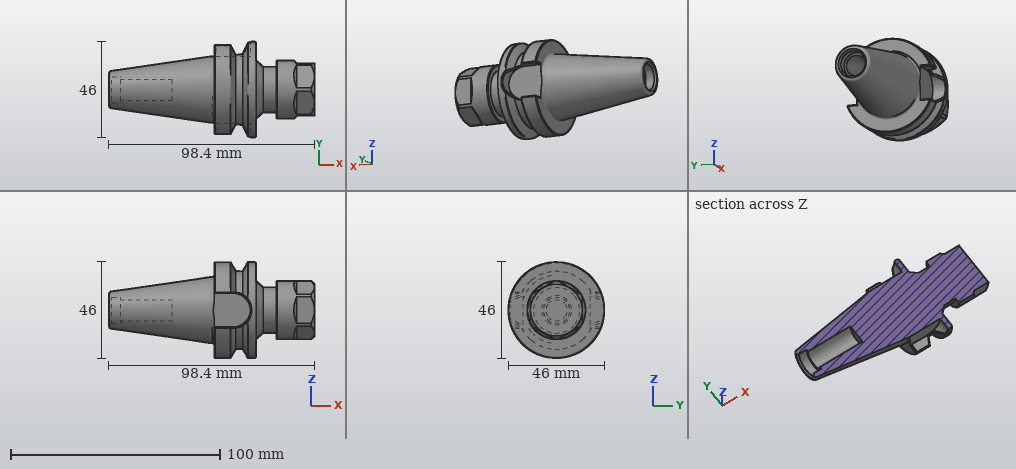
import cadquery as cq
import math


GAUGE_RADIUS = 31.75 / 2
SHANK_LENGTH = 48.4
TAPER_RATIO = 7 / 24
SHANK_END_FILLET = 1.5
SHANK_END_X = -SHANK_LENGTH
SHANK_END_RADIUS = GAUGE_RADIUS - SHANK_LENGTH * TAPER_RATIO / 2

MOUTH_RADIUS = 7.1
MOUTH_DEPTH = 1.0
PILOT_RADIUS = 12.5 / 2
PILOT_DEPTH = 5.4
THREAD_RADIUS = 10.11 / 2
BORE_DEPTH = 30.0

FLANGE_RADIUS = 46 / 2
FLANGE_START_X = 2.0
FLANGE_END_X = 22.0
FLANGE_ROOT_FILLET = 1.0
FLANGE_CHAMFER = 0.4
FLANGE_END_FILLET = 1.0
GROOVE_CENTER_X = 13.9
GROOVE_FLOOR_RADIUS = 18.7
GROOVE_FLOOR_WIDTH = 3.3
GROOVE_FLANK_ANGLE = 30.0
GROOVE_RIM_FILLET = 0.4
GROOVE_RIM_HALF_WIDTH = GROOVE_FLOOR_WIDTH / 2 + (FLANGE_RADIUS - GROOVE_FLOOR_RADIUS) * math.tan(
    math.radians(GROOVE_FLANK_ANGLE)
)

SLOT_HALF_WIDTH = 16.1 / 2
SLOT_FLOOR_Y = 16.0
SLOT_ARC_CENTER_X = 11.2
SLOT_EDGE_CHAMFER = 0.6

NECK_RADIUS = 22 / 2
NECK_CONE_RADIUS = 28 / 2
NECK_START_X = 25.3
NUT_RADIUS = 28 / 2
NUT_START_X = 31.7
NUT_END_X = 50.0
NUT_START_CHAMFER = 0.4
NUT_END_RADIUS = 12.4
NUT_END_CHAMFER_LENGTH = 1.8
FLAT_COUNT = 6
FLAT_DISTANCE = 25 / 2
FLAT_START_X = 41.45
FLAT_RUNOUT = 1.45

OVERCUT = 1.0


def revolve_about_x(profile):
    """Turn a closed outline, drawn as (x, radius), around the X axis."""
    return profile.close().revolve(360, (0, 0, 0), (1, 0, 0))


def make_shank():
    """Taper with a rounded small end, and the gauge cylinder up to the flange."""
    shank = revolve_about_x(
        cq.Workplane("XY")
        .moveTo(SHANK_END_X, 0)
        .lineTo(SHANK_END_X, SHANK_END_RADIUS)
        .lineTo(0, GAUGE_RADIUS)
        .lineTo(FLANGE_START_X, GAUGE_RADIUS)
        .lineTo(FLANGE_START_X, 0)
    )
    return shank.faces("<X").edges().fillet(SHANK_END_FILLET)


def make_root_fillet():
    """Collar whose concave outline blends the gauge cylinder into the flange face."""
    fillet_radius = FLANGE_ROOT_FILLET
    tangent_x = FLANGE_START_X - fillet_radius
    outer_radius = GAUGE_RADIUS + fillet_radius
    diagonal = fillet_radius * math.sqrt(0.5)
    return revolve_about_x(
        cq.Workplane("XY")
        .moveTo(tangent_x, 0)
        .lineTo(tangent_x, GAUGE_RADIUS)
        .threePointArc(
            (tangent_x + diagonal, outer_radius - diagonal),
            (FLANGE_START_X, outer_radius),
        )
        .lineTo(FLANGE_START_X, 0)
    )


def make_flange():
    """Disc with the V-flanked gripper groove, its rims still sharp."""
    floor_half = GROOVE_FLOOR_WIDTH / 2
    flange = revolve_about_x(
        cq.Workplane("XY")
        .moveTo(FLANGE_START_X, 0)
        .lineTo(FLANGE_START_X, FLANGE_RADIUS - FLANGE_CHAMFER)
        .lineTo(FLANGE_START_X + FLANGE_CHAMFER, FLANGE_RADIUS)
        .lineTo(GROOVE_CENTER_X - GROOVE_RIM_HALF_WIDTH, FLANGE_RADIUS)
        .lineTo(GROOVE_CENTER_X - floor_half, GROOVE_FLOOR_RADIUS)
        .lineTo(GROOVE_CENTER_X + floor_half, GROOVE_FLOOR_RADIUS)
        .lineTo(GROOVE_CENTER_X + GROOVE_RIM_HALF_WIDTH, FLANGE_RADIUS)
        .lineTo(FLANGE_END_X, FLANGE_RADIUS)
        .lineTo(FLANGE_END_X, 0)
    )
    return flange.faces(">X").edges().fillet(FLANGE_END_FILLET)


def make_groove_rim_cutter(side):
    """Ring that rounds one rim of the groove; side is -1 toward the shank, +1 toward the nut."""
    turn = math.radians(90 - GROOVE_FLANK_ANGLE)
    setback = GROOVE_RIM_FILLET * math.tan(turn / 2)
    corner_x = GROOVE_CENTER_X + side * GROOVE_RIM_HALF_WIDTH
    land_x = corner_x + side * setback
    arc_center_radius = FLANGE_RADIUS - GROOVE_RIM_FILLET

    def rim_point(angle):
        return (
            land_x - side * GROOVE_RIM_FILLET * math.sin(angle),
            arc_center_radius + GROOVE_RIM_FILLET * math.cos(angle),
        )

    return revolve_about_x(
        cq.Workplane("XY")
        .moveTo(land_x, FLANGE_RADIUS)
        .threePointArc(rim_point(turn / 2), rim_point(turn))
        .lineTo(corner_x, FLANGE_RADIUS)
    )


def make_slot_cutter(side):
    """Round-ended slot, open toward the shank; side is -1 or +1 along Y."""
    past_flange = FLANGE_RADIUS + OVERCUT
    slot_depth = past_flange - SLOT_FLOOR_Y
    shank_side = (
        cq.Workplane("XY")
        .box(SLOT_ARC_CENTER_X, slot_depth, 2 * SLOT_HALF_WIDTH, centered=(False, False, True))
        .translate((0, SLOT_FLOOR_Y, 0))
    )
    round_end = (
        cq.Workplane("XZ", origin=(SLOT_ARC_CENTER_X, past_flange, 0))
        .circle(SLOT_HALF_WIDTH)
        .extrude(slot_depth)
    )
    cutter = shank_side.union(round_end).clean()
    if side < 0:
        cutter = cutter.mirror("XZ")
    return cutter


def slot_edges(side):
    """Selector for the outer edges of one slot: along the flange face, its rim and the groove."""
    margin = 0.1
    half_width = SLOT_HALF_WIDTH + margin
    inner_y = side * (SLOT_FLOOR_Y + margin)
    outer_y = side * (FLANGE_RADIUS + OVERCUT)
    around_slot = cq.selectors.BoxSelector(
        (FLANGE_START_X - margin, inner_y, -half_width), (FLANGE_END_X, outer_y, half_width)
    )
    on_flange_face = cq.selectors.BoxSelector(
        (FLANGE_START_X - margin, inner_y, -half_width),
        (FLANGE_START_X + margin, outer_y, half_width),
    )
    wall_seams = cq.selectors.ParallelDirSelector(cq.Vector(0, 1, 0)) - on_flange_face
    return around_slot - wall_seams


def make_neck():
    """Cone from the flange down to the cylinder that carries the nut."""
    return revolve_about_x(
        cq.Workplane("XY")
        .moveTo(FLANGE_END_X, 0)
        .lineTo(FLANGE_END_X, NECK_CONE_RADIUS)
        .lineTo(NECK_START_X, NECK_RADIUS)
        .lineTo(NUT_START_X, NECK_RADIUS)
        .lineTo(NUT_START_X, 0)
    )


def make_nut():
    """Collet nut with wrench flats that run out on a slope toward the flange."""
    nut = revolve_about_x(
        cq.Workplane("XY")
        .moveTo(NUT_START_X, 0)
        .lineTo(NUT_START_X, NUT_RADIUS - NUT_START_CHAMFER)
        .lineTo(NUT_START_X + NUT_START_CHAMFER, NUT_RADIUS)
        .lineTo(NUT_END_X - NUT_END_CHAMFER_LENGTH, NUT_RADIUS)
        .lineTo(NUT_END_X, NUT_END_RADIUS)
        .lineTo(NUT_END_X, 0)
    )
    past_nut = NUT_END_X + OVERCUT
    cutter = (
        cq.Workplane("XY")
        .moveTo(FLAT_START_X, FLAT_DISTANCE)
        .lineTo(past_nut, FLAT_DISTANCE)
        .lineTo(past_nut, NUT_RADIUS)
        .lineTo(FLAT_START_X - FLAT_RUNOUT, NUT_RADIUS)
        .close()
        .extrude(NUT_RADIUS, both=True)
    )
    for index in range(FLAT_COUNT):
        nut = nut.cut(cutter.rotate((0, 0, 0), (1, 0, 0), index * 360 / FLAT_COUNT))
    return nut


def make_bore():
    """Blind stepped bore with a flared mouth."""
    return revolve_about_x(
        cq.Workplane("XY")
        .moveTo(SHANK_END_X, 0)
        .lineTo(SHANK_END_X, MOUTH_RADIUS)
        .lineTo(SHANK_END_X + MOUTH_DEPTH, PILOT_RADIUS)
        .lineTo(SHANK_END_X + PILOT_DEPTH, PILOT_RADIUS)
        .lineTo(SHANK_END_X + PILOT_DEPTH, THREAD_RADIUS)
        .lineTo(SHANK_END_X + BORE_DEPTH, THREAD_RADIUS)
        .lineTo(SHANK_END_X + BORE_DEPTH, 0)
    )


body = make_shank().union(make_root_fillet()).union(make_flange())
body = body.union(make_neck()).union(make_nut())
for slot_side in (-1, 1):
    body = body.cut(make_slot_cutter(slot_side))
    body = body.edges(slot_edges(slot_side)).chamfer(SLOT_EDGE_CHAMFER)
for rim_side in (-1, 1):
    body = body.cut(make_groove_rim_cutter(rim_side))
result = body.cut(make_bore())